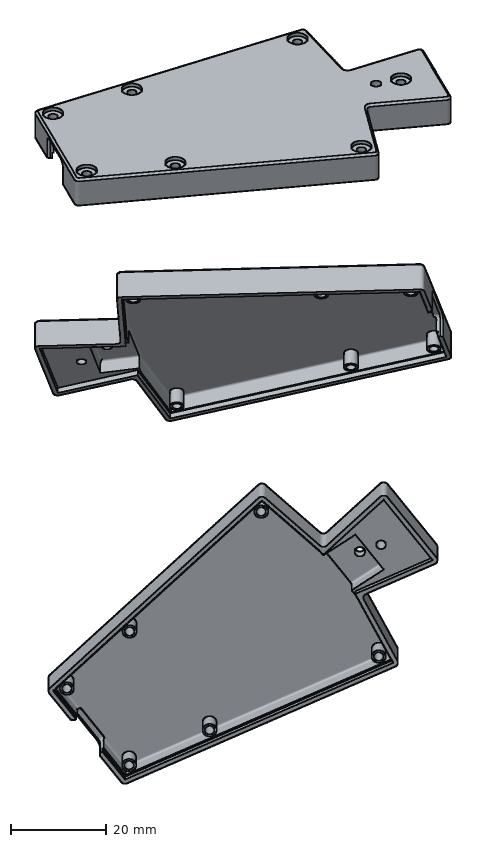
import cadquery as cq
import math

LENGTH = 84.75
HEIGHT = 6.7
TAPER_ANGLE = 9.8
TAPER = math.tan(math.radians(TAPER_ANGLE))
END_HALF_WIDTH = 13.7
NECK_END_HALF_WIDTH = 10.0
SHOULDER_Y = 21.3
CORNER_RADIUS = 1.0
TOP_CHAMFER = 0.5

WALL = 1.35
CAVITY_TOP = 4.8
CEILING_RADIUS = 0.5
LIP_WALL = 1.0
LIP_DEPTH = 1.3
POCKET_TOP = CAVITY_TOP - CEILING_RADIUS
POCKET_WIDTH = 10.2
POCKET_END_Y = 31.35

NOTCH_WIDTH = 9.4
NOTCH_HEIGHT = 5.1
NOTCH_RADIUS = 1.0
NOTCH_CHAMFER = 0.5
NOTCH_CUT = WALL + CEILING_RADIUS
TOLERANCE = 0.1

SCREW_DIAMETER = 2.0
HEAD_DIAMETER = 4.3
HEAD_DEPTH = 0.85
BOSS_DIAMETER = 3.0
SCREW_INSET = 3.1
SCREW_ROWS_Y = (-39.1, -20.5, 18.5)
NECK_SCREW_Y = 34.3
PIN_DIAMETER = 2.2
PIN_Y = 28.8

END_Y = -LENGTH / 2
NECK_END_Y = LENGTH / 2


def side_x(y):
    """Half width of the wide body at a given y."""
    return END_HALF_WIDTH + (y - END_Y) * TAPER


def neck_root():
    """Point where the neck side meets the shoulder, which is square to it."""
    shoulder_x = side_x(SHOULDER_Y)
    neck_x_at_shoulder = NECK_END_HALF_WIDTH - (NECK_END_Y - SHOULDER_Y) * TAPER
    rise = (shoulder_x - neck_x_at_shoulder) * TAPER / (1 + TAPER**2)
    return neck_x_at_shoulder + rise * TAPER, SHOULDER_Y + rise


def mirrored_outline(right_side):
    """Closed plan outline on the bottom plane from its right-hand corners."""
    left_side = [(-x, y) for x, y in reversed(right_side)]
    return cq.Workplane("XY").polyline(right_side + left_side).close()


WIDE_CORNERS = [
    (END_HALF_WIDTH, END_Y),
    (side_x(SHOULDER_Y), SHOULDER_Y),
    neck_root(),
]
NECK_CORNER = (NECK_END_HALF_WIDTH, NECK_END_Y)


def full_outline():
    return mirrored_outline(WIDE_CORNERS + [NECK_CORNER])


def body():
    block = full_outline().extrude(HEIGHT).edges("|Z").fillet(CORNER_RADIUS)
    return block.faces(">Z").edges().chamfer(TOP_CHAMFER)


def rounded_top(block):
    return block.faces(">Z").edges().fillet(CEILING_RADIUS)


def hollow():
    """Main cavity under the wide body, neck pocket and the recess inside the rim lip."""
    wide = mirrored_outline(WIDE_CORNERS).offset2D(-WALL, "intersection")
    main = rounded_top(wide.extrude(CAVITY_TOP))
    pocket = cq.Workplane("XY").box(
        POCKET_WIDTH, POCKET_END_Y, POCKET_TOP, centered=(True, False, False)
    )
    lip_recess = full_outline().offset2D(-LIP_WALL, "intersection").extrude(LIP_DEPTH)
    return main.union(rounded_top(pocket)).union(lip_recess)


def with_notch(shell):
    """Cut the round-topped notch through the end wall and bevel its outer rim."""
    cutter = cq.Workplane("XY").box(NOTCH_WIDTH, 2 * NOTCH_CUT, 2 * NOTCH_HEIGHT)
    cutter = cutter.edges("|Y and >Z").fillet(NOTCH_RADIUS)
    notched = shell.cut(cutter.translate((0, END_Y, 0)))
    reach = NOTCH_WIDTH / 2 + TOLERANCE
    rim = cq.selectors.BoxSelector(
        (-reach, END_Y - TOLERANCE, TOLERANCE),
        (reach, END_Y + TOLERANCE, NOTCH_HEIGHT + TOLERANCE),
    )
    return notched.edges(rim).chamfer(NOTCH_CHAMFER)


def body_screws():
    places = []
    for y in SCREW_ROWS_Y:
        x = side_x(y) - SCREW_INSET
        places += [(-x, y), (x, y)]
    return places


def with_bosses(shell):
    """Posts that carry the body screws from the ceiling down to the lip recess."""
    posts = cq.Workplane("XY", origin=(0, 0, LIP_DEPTH)).pushPoints(body_screws())
    return shell.union(posts.circle(BOSS_DIAMETER / 2).extrude(CAVITY_TOP - LIP_DEPTH))


def with_holes(shell):
    screws = body_screws() + [(0, NECK_SCREW_Y)]
    top = shell.faces(">Z").workplane(origin=(0, 0, HEIGHT))
    drilled = top.pushPoints(screws).cboreHole(SCREW_DIAMETER, HEAD_DIAMETER, HEAD_DEPTH)
    top = drilled.faces(">Z").workplane(origin=(0, 0, HEIGHT))
    return top.pushPoints([(0, PIN_Y)]).hole(PIN_DIAMETER)


result = with_holes(with_bosses(with_notch(body().cut(hollow()))))